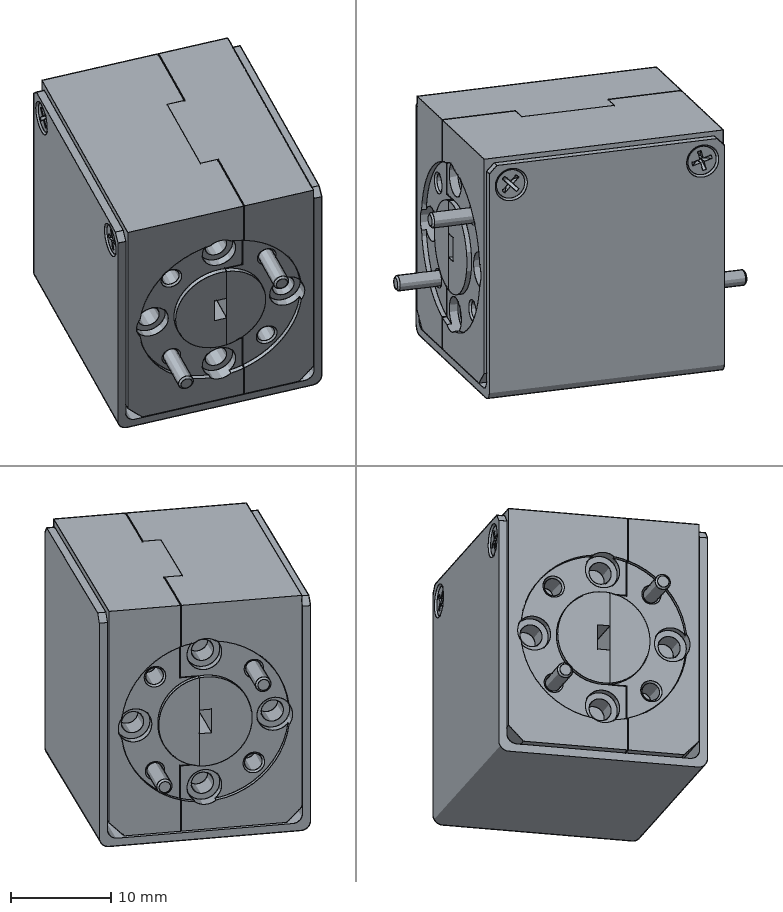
import cadquery as cq
import math

total_length = 33.4
block_length = 25.4
block_width = 19.7
block_top = 12.7
block_bottom = -11.6
bottom_chamfer = 1.55
flange_x = block_length / 2

waveguide_height = 1.27
waveguide_width = 2.55
waveguide_depth = 6.68
seat_y = waveguide_height / 2
rear_face_y = 2.55
front_face_y = 2.45
long_rib_half = 4.7
cross_rib_half = 4.9

boss_radius = 4.78
groove_radius = 8.62
groove_depth = 0.5
hole_circle_radius = 7.15
counterbore_radius = 1.77
counterbore_depth = 1.4
bolt_radius = 1.15
bolt_depth = 4.0
socket_radius = 0.9
socket_depth = 4.0
mouth_chamfer = 0.2
long_slot_half = boss_radius

pin_radius = 0.785
pin_outside = (total_length - block_length) / 2
pin_inside = 4.0
pin_chamfer = 0.2

cover_length = 24.95
cover_width = 21.6
cover_top = 12.22
cover_bottom = -12.7
cover_wall = 0.85
bend_radius = 1.0
cover_corner = 0.8
cover_front_y = -cover_width / 2

screw_x = 10.15
screw_z = 10.02
countersink_radius = 1.7
screw_recess = 0.2
head_radius = countersink_radius - screw_recess
shank_radius = 1.0
screw_length = 4.0
drive_half_length = 1.07
drive_half_width = 0.185
drive_depth = 1.35
screw_angles = {-1: 45.0, 1: 15.0}

hole_offset = hole_circle_radius * math.cos(math.radians(45))
bolt_points = [
    (hole_circle_radius, 0),
    (-hole_circle_radius, 0),
    (0, hole_circle_radius),
    (0, -hole_circle_radius),
]


def box(x_range, y_range, z_range):
    """Box between the given limits on each axis."""
    low, high = zip(x_range, y_range, z_range)
    size = [b - a for a, b in zip(low, high)]
    return cq.Workplane("XY").box(*size, centered=False).translate(low)


def x_rod(side, y, z, radius, start, length):
    """Cylinder along X that starts at the given distance from the centre and runs inwards."""
    plane = cq.Plane(origin=(side * start, y, z), xDir=(0, 1, 0), normal=(-side, 0, 0))
    return cq.Workplane(plane).circle(radius).extrude(length)


def x_cone(side, y, z, radius, start, length):
    """45 degree cone along X that narrows inwards by its length."""
    return cq.Workplane(obj=cq.Solid.makeCone(
        radius, radius - length, length, pnt=cq.Vector(side * start, y, z), dir=cq.Vector(-side, 0, 0)))


def pin_places(side):
    """Y, Z of the two pins of an end; the two ends match when the part is turned about Z."""
    return [(side * hole_offset, hole_offset), (-side * hole_offset, -hole_offset)]


def socket_places(side):
    """Y, Z of the two open sockets of an end, which take the pins of a mating flange."""
    return [(-side * hole_offset, hole_offset), (side * hole_offset, -hole_offset)]


def cut_flange(body, side):
    """Ring groove, counterbored bolt holes, sockets and pin holes of one end."""
    groove = x_rod(side, 0, 0, groove_radius, flange_x, groove_depth)
    body = body.cut(groove.cut(x_rod(side, 0, 0, boss_radius, flange_x, groove_depth)))
    floor_x = flange_x - groove_depth
    for y, z in bolt_points:
        body = body.cut(x_rod(side, y, z, counterbore_radius, flange_x, counterbore_depth))
        body = body.cut(x_rod(side, y, z, bolt_radius, flange_x, bolt_depth))
    holes = [(place, socket_radius, socket_depth) for place in socket_places(side)]
    holes += [(place, pin_radius, pin_inside) for place in pin_places(side)]
    for (y, z), radius, depth in holes:
        body = body.cut(x_rod(side, y, z, radius, flange_x, depth))
        body = body.cut(x_cone(side, y, z, radius + mouth_chamfer, floor_x, mouth_chamfer))
    return body


def rib_cross(long_half):
    """Crossed ribs reaching from the contact plane into the rear block."""
    depth = (seat_y, block_width / 2)
    long_rib = box((-flange_x, flange_x), depth, (-long_half, long_half))
    cross_rib = box((-cross_rib_half, cross_rib_half), depth, (block_bottom, block_top))
    return long_rib.union(cross_rib)


def block_envelope():
    """Both half blocks as one plain block with chamfered lower edges."""
    envelope = box(
        (-flange_x, flange_x), (-block_width / 2, block_width / 2), (block_bottom, block_top))
    return envelope.edges("|X and <Z").chamfer(bottom_chamfer)


def screw_axis(side, depth):
    """Plane on a screw axis at a depth below the cover's front face, looking into the part."""
    return cq.Plane(origin=(side * screw_x, cover_front_y + depth, screw_z), xDir=(1, 0, 0), normal=(0, 1, 0))


def screw_shape(side, top_depth, top_radius):
    """Countersunk head and shank, starting at the given depth below the cover face."""
    head_height = top_radius - shank_radius
    axis = screw_axis(side, top_depth)
    head = cq.Solid.makeCone(top_radius, shank_radius, head_height, pnt=axis.origin, dir=axis.zDir)
    shank = cq.Workplane(axis).circle(shank_radius).extrude(screw_length - top_depth)
    return shank.union(cq.Workplane(obj=head))


def make_rear_block():
    beside_ribs = box((-flange_x, flange_x), (rear_face_y, block_width / 2), (block_bottom, block_top))
    body = block_envelope().intersect(beside_ribs.union(rib_cross(long_rib_half)))
    for side in (-1, 1):
        body = cut_flange(body, side)
    return body


def make_front_block():
    front_part = box((-flange_x, flange_x), (-block_width / 2, front_face_y), (block_bottom, block_top))
    body = block_envelope().intersect(front_part).cut(rib_cross(long_slot_half))
    for side in (-1, 1):
        body = body.cut(box(
            sorted((side * flange_x, side * (flange_x - waveguide_depth))),
            (-seat_y, seat_y),
            (-waveguide_width / 2, waveguide_width / 2)))
        body = cut_flange(body, side)
        body = body.cut(screw_shape(side, 0, countersink_radius))
    return body


def make_cover():
    half_length = cover_length / 2
    outer = box((-half_length, half_length), (cover_front_y, -cover_front_y), (cover_bottom, cover_top))
    outer = outer.edges("|X and <Z").fillet(bend_radius).edges("|Y and >Z").chamfer(cover_corner)
    inner_y = cover_width / 2 - cover_wall
    inner = box((-half_length, half_length), (-inner_y, inner_y), (cover_bottom + cover_wall, cover_top))
    body = outer.cut(inner.edges("|X and <Z").fillet(bend_radius))
    for side in (-1, 1):
        body = body.cut(screw_shape(side, 0, countersink_radius))
    return body


def make_pin(side, y, z):
    tip_x = total_length / 2
    pin = x_rod(side, y, z, pin_radius, tip_x, pin_outside + pin_inside)
    return pin.faces(">X" if side > 0 else "<X").chamfer(pin_chamfer)


def make_screw(side):
    """Screw whose cross recess deepens along a cone towards its middle."""
    axis = screw_axis(side, screw_recess)
    arm = (2 * drive_half_length, 2 * drive_half_width)
    level_arm = cq.Workplane(axis).rect(*arm).extrude(drive_depth)
    upright_arm = cq.Workplane(axis).rect(*reversed(arm)).extrude(drive_depth)
    cone = cq.Solid.makeCone(drive_half_length, 0, drive_depth, pnt=axis.origin, dir=axis.zDir)
    drive = level_arm.union(upright_arm).intersect(cq.Workplane(obj=cone))
    axis_start = (side * screw_x, 0, screw_z)
    axis_end = (side * screw_x, -1, screw_z)
    drive = drive.rotate(axis_start, axis_end, screw_angles[side])
    return screw_shape(side, screw_recess, head_radius).cut(drive)


rear_block = make_rear_block()
front_block = make_front_block()
cover = make_cover()
pins = [make_pin(side, y, z) for side in (-1, 1) for y, z in pin_places(side)]
screws = [make_screw(side) for side in (-1, 1)]

result = cq.Compound.makeCompound([
    rear_block.val(),
    front_block.val(),
    cover.val(),
    *[pin.val() for pin in pins],
    *[screw.val() for screw in screws],
])